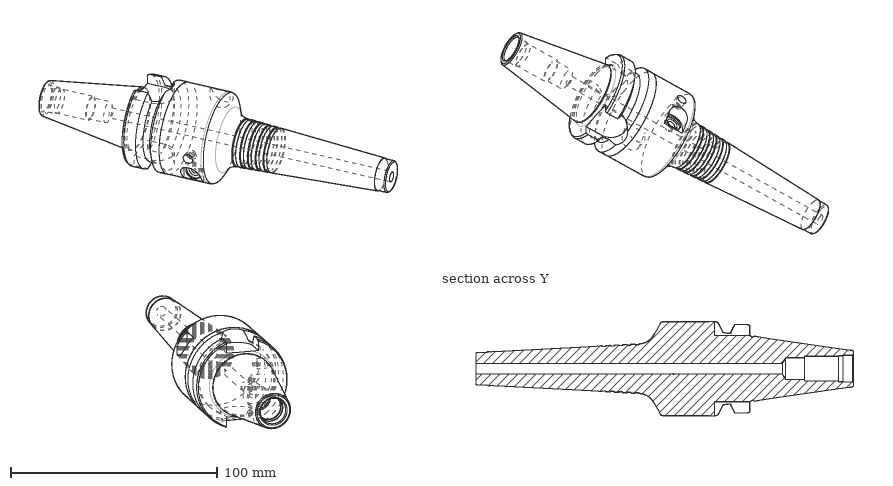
import cadquery as cq
import math


total_length = 183.4
gauge_line_x = 48.2
undercut_start_x = 48.8
flange_face_x = 50.5
flange_rear_x = 57.8
grip_groove_start_x = 60.0
grip_groove_end_x = 63.5
body_step_x = 70.2
body_end_x = 93.5
shoulder_end_x = 97.2
nose_start_x = 103.8
nose_tip_x = 177.9

gauge_diameter = 31.7
undercut_diameter = 30.8
undercut_fillet = 1.5
flange_diameter = 46.0
grip_groove_diameter = 38.0
body_diameter = 45.8
nose_cone_end_diameter = 16.5
nose_tip_diameter = 16.0

shank_taper = 7 / 24
nose_half_angle = math.radians(3)
groove_wall_angle = math.radians(30)
shoulder_angle = math.radians(60)
edge_break = 0.5
flange_edge_length = 1.1
body_edge_length = 1.1
body_edge_drop = 0.28

ring_count = 5
first_ring_x = 105.0
ring_pitch = 4.0
ring_mouth_width = 2.0
ring_floor_width = 1.5
ring_depth = 0.4

bore_mouth_diameter = 14.0
bore_entry_diameter = 12.8
bore_entry_depth = 5.1
bore_relief_diameter = 12.5
bore_relief_end_x = 7.3
thread_diameter = 12.0
thread_end_x = 23.8
drill_diameter = 10.5
drill_end_x = 33.0
through_diameter = 5.0
drill_point_angle = math.radians(59)

slot_width = 16.1
slot_floor_z = 16.1
slot_end_x = 67.5

side_hole_x = 85.5
pocket_offset_z = 12.0
pocket_width = 10.5
pocket_floor_y = 15.8
screw_seat_diameter = 8.5
screw_seat_depth = 1.0
screw_hole_mouth_diameter = 5.7
screw_hole_diameter = 4.0
screw_hole_depth = 3.7
bleed_hole_z = -1.1
bleed_hole_diameter = 5.0
bleed_hole_floor_y = 18.3
bleed_drill_mouth_diameter = 3.0
bleed_drill_diameter = 2.4
bleed_drill_depth = 1.8


def nose_radius(x):
    """Radius of the tapered nose at position x."""
    return nose_cone_end_diameter / 2 + (nose_tip_x - x) * math.tan(nose_half_angle)


def make_body():
    """Turned outside shape of the holder."""
    shank_end_radius = (gauge_diameter - gauge_line_x * shank_taper) / 2
    flange_radius = flange_diameter / 2
    body_radius = body_diameter / 2
    groove_radius = grip_groove_diameter / 2
    groove_wall_length = (flange_radius - groove_radius) * math.tan(groove_wall_angle)
    shoulder_top_radius = body_radius - body_edge_drop
    shoulder_drop = (shoulder_end_x - body_end_x) * math.tan(shoulder_angle)
    tip_radius = nose_tip_diameter / 2
    undercut_radius = undercut_diameter / 2
    profile = (
        cq.Workplane("XY")
        .moveTo(total_length, 0)
        .lineTo(total_length, tip_radius - edge_break)
        .lineTo(total_length - edge_break, tip_radius)
        .lineTo(nose_tip_x, tip_radius)
        .lineTo(nose_tip_x, nose_radius(nose_tip_x))
        .lineTo(nose_start_x, nose_radius(nose_start_x))
        .tangentArcPoint((shoulder_end_x, shoulder_top_radius - shoulder_drop), relative=False)
        .lineTo(body_end_x, shoulder_top_radius)
        .lineTo(body_end_x - body_edge_length, body_radius)
        .lineTo(body_step_x, body_radius)
        .lineTo(body_step_x, flange_radius)
        .lineTo(grip_groove_end_x + groove_wall_length, flange_radius)
        .lineTo(grip_groove_end_x, groove_radius)
        .lineTo(grip_groove_start_x, groove_radius)
        .lineTo(flange_rear_x, flange_radius)
        .lineTo(flange_face_x + flange_edge_length, flange_radius)
        .lineTo(flange_face_x, flange_radius - edge_break)
        .lineTo(flange_face_x, undercut_radius + undercut_fillet)
        .radiusArc((flange_face_x - undercut_fillet, undercut_radius), undercut_fillet)
        .lineTo(undercut_start_x, undercut_radius)
        .lineTo(gauge_line_x, gauge_diameter / 2)
        .lineTo(edge_break, shank_end_radius + edge_break * shank_taper / 2)
        .lineTo(0, shank_end_radius - edge_break)
        .lineTo(0, 0)
        .close()
    )
    return profile.revolve(360, (0, 0, 0), (1, 0, 0))


def make_bore():
    """Stepped bore with a drill point leading into the through hole."""
    through_radius = through_diameter / 2
    point_length = (drill_diameter - through_diameter) / 2 / math.tan(drill_point_angle)
    mouth_chamfer = (bore_mouth_diameter - bore_entry_diameter) / 2
    profile = (
        cq.Workplane("XY")
        .moveTo(0, 0)
        .lineTo(0, bore_mouth_diameter / 2)
        .lineTo(mouth_chamfer, bore_entry_diameter / 2)
        .lineTo(bore_entry_depth, bore_entry_diameter / 2)
        .lineTo(bore_entry_depth, bore_relief_diameter / 2)
        .lineTo(bore_relief_end_x, bore_relief_diameter / 2)
        .lineTo(bore_relief_end_x, thread_diameter / 2)
        .lineTo(thread_end_x, thread_diameter / 2)
        .lineTo(thread_end_x, drill_diameter / 2)
        .lineTo(drill_end_x, drill_diameter / 2)
        .lineTo(drill_end_x + point_length, through_radius)
        .lineTo(total_length, through_radius)
        .lineTo(total_length, 0)
        .close()
    )
    return profile.revolve(360, (0, 0, 0), (1, 0, 0))


def make_ring_groove(center_x):
    """Groove with sloping walls round the nose, centred at center_x."""
    mouth_radius = nose_radius(center_x)
    floor_radius = mouth_radius - ring_depth
    wall_slope = (ring_mouth_width - ring_floor_width) / 2 / ring_depth
    outer_radius = mouth_radius + ring_depth
    outer_half_width = ring_mouth_width / 2 + ring_depth * wall_slope
    profile = cq.Workplane("XY").polyline([
        (center_x - ring_floor_width / 2, floor_radius),
        (center_x + ring_floor_width / 2, floor_radius),
        (center_x + outer_half_width, outer_radius),
        (center_x - outer_half_width, outer_radius),
    ]).close()
    return profile.revolve(360, (0, 0, 0), (1, 0, 0))


def make_drive_slot():
    """Round-ended key slot above the axis, open at the flange face."""
    half_width = slot_width / 2
    round_x = slot_end_x - half_width
    return (
        cq.Workplane("XY", origin=(0, 0, slot_floor_z))
        .moveTo(undercut_start_x, -half_width)
        .lineTo(round_x, -half_width)
        .threePointArc((slot_end_x, 0), (round_x, half_width))
        .lineTo(undercut_start_x, half_width)
        .close()
        .extrude(flange_diameter / 2)
    )


def front_plane(y, z):
    """Workplane at the side hole position, facing outwards along -Y."""
    return cq.Workplane(cq.Plane(origin=(side_hole_x, y, z), xDir=(1, 0, 0), normal=(0, -1, 0)))


def make_front_pocket():
    """Round-ended pocket on the -Y side, running out through the surface below."""
    half_width = pocket_width / 2
    return (
        front_plane(-pocket_floor_y, -pocket_offset_z)
        .moveTo(-half_width, -body_diameter / 2)
        .lineTo(-half_width, 0)
        .threePointArc((0, half_width), (half_width, 0))
        .lineTo(half_width, -body_diameter / 2)
        .close()
        .extrude(flange_diameter / 2)
    )


def make_pointed_hole(mouth_y, z, mouth_diameter, diameter, depth):
    """Blind hole going in along +Y from mouth_y, with a 45 degree countersink and a drill point."""
    radius = diameter / 2
    mouth_radius = mouth_diameter / 2
    plane = cq.Plane(origin=(side_hole_x, mouth_y, z), xDir=(1, 0, 0), normal=(0, 0, 1))
    profile = cq.Workplane(plane).polyline([
        (0, 0),
        (mouth_radius, 0),
        (radius, mouth_radius - radius),
        (radius, depth),
        (0, depth + radius / math.tan(drill_point_angle)),
    ]).close()
    return profile.revolve(360, (0, 0, 0), (0, 1, 0))


def make_screw_hole():
    """Seat and blind hole in the floor of the front pocket."""
    seat_floor_y = -pocket_floor_y + screw_seat_depth
    seat_plane = front_plane(seat_floor_y, -pocket_offset_z)
    seat = seat_plane.circle(screw_seat_diameter / 2).extrude(screw_seat_depth)
    hole = make_pointed_hole(
        seat_floor_y,
        -pocket_offset_z,
        screw_hole_mouth_diameter,
        screw_hole_diameter,
        screw_hole_depth,
    )
    return seat.union(hole)


def make_bleed_hole():
    """Flat-bottomed hole with a smaller drilled hole in its floor."""
    floor_plane = front_plane(-bleed_hole_floor_y, bleed_hole_z)
    bore = floor_plane.circle(bleed_hole_diameter / 2).extrude(flange_diameter / 2)
    hole = make_pointed_hole(
        -bleed_hole_floor_y,
        bleed_hole_z,
        bleed_drill_mouth_diameter,
        bleed_drill_diameter,
        bleed_drill_depth,
    )
    return bore.union(hole)


result = make_body().cut(make_bore())

for ring in range(ring_count):
    result = result.cut(make_ring_groove(first_ring_x + ring * ring_pitch))

for cutter in (make_drive_slot(), make_front_pocket()):
    result = result.cut(cutter).cut(cutter.rotate((0, 0, 0), (1, 0, 0), 180))

result = result.cut(make_screw_hole()).cut(make_bleed_hole())